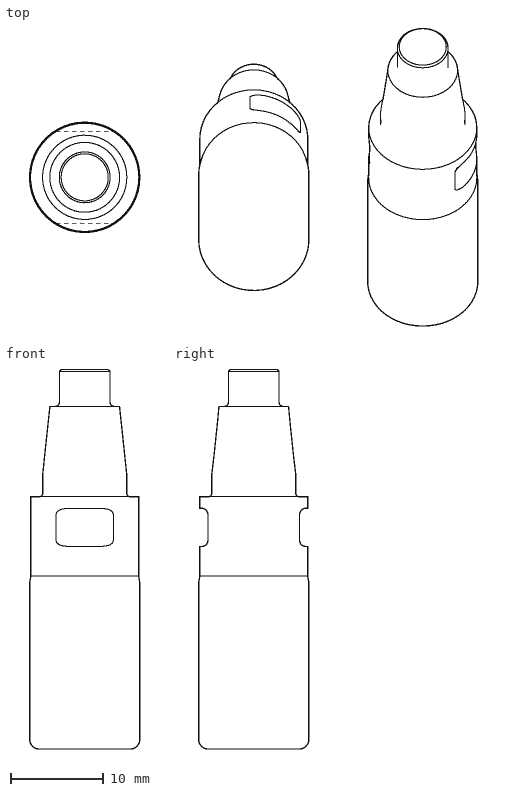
import cadquery as cq

total_height = 41.2

sleeve_radius = 12.0 / 2
sleeve_taper_start = 18.05
sleeve_top = 18.8
sleeve_bottom_fillet = 1.07

collar_radius = 11.75 / 2
collar_top = 27.4
flat_distance = 5.0
flat_center_height = 24.05
flat_height = 4.1
flat_fillet = 0.65

boot_base_radius = 4.57
boot_top_radius = 3.8
boot_taper_start = 29.83
boot_top = 37.2
boot_fillet = 0.37

cable_radius = 2.75
cable_fillet = 0.45
cable_chamfer = 0.2


def make_sleeve():
    """Solid cylinder with a rounded bottom edge and a taper down to the collar."""
    return (
        cq.Workplane("XZ")
        .lineTo(sleeve_radius, 0)
        .lineTo(sleeve_radius, sleeve_taper_start)
        .lineTo(collar_radius, sleeve_top)
        .lineTo(0, sleeve_top)
        .close()
        .revolve(360, (0, 0, 0), (0, 1, 0))
        .faces("<Z")
        .edges()
        .fillet(sleeve_bottom_fillet)
    )


def make_flat_cutter(side):
    """Block that cuts one wrench flat; side is -1 or +1 along Y."""
    cutter_depth = collar_radius
    return (
        cq.Workplane("XY")
        .box(2 * collar_radius, cutter_depth, flat_height)
        .edges("|X and >Y" if side < 0 else "|X and <Y")
        .fillet(flat_fillet)
        .translate((0, side * (flat_distance + cutter_depth / 2), flat_center_height))
    )


def make_upper_body():
    """Collar, boot and cable stub turned as one piece, with the flats cut."""
    arc_offset = 1 - 0.5 ** 0.5
    boot_arc_mid = boot_fillet * arc_offset
    cable_arc_mid = cable_fillet * arc_offset
    body = (
        cq.Workplane("XZ")
        .moveTo(0, sleeve_top)
        .lineTo(collar_radius, sleeve_top)
        .lineTo(collar_radius, collar_top)
        .lineTo(boot_base_radius + boot_fillet, collar_top)
        .threePointArc(
            (boot_base_radius + boot_arc_mid, collar_top + boot_arc_mid),
            (boot_base_radius, collar_top + boot_fillet),
        )
        .lineTo(boot_base_radius, boot_taper_start)
        .lineTo(boot_top_radius, boot_top)
        .lineTo(cable_radius + cable_fillet, boot_top)
        .threePointArc(
            (cable_radius + cable_arc_mid, boot_top + cable_arc_mid),
            (cable_radius, boot_top + cable_fillet),
        )
        .lineTo(cable_radius, total_height - cable_chamfer)
        .lineTo(cable_radius - cable_chamfer, total_height)
        .lineTo(0, total_height)
        .close()
        .revolve(360, (0, 0, 0), (0, 1, 0))
    )
    for side in (-1, 1):
        body = body.cut(make_flat_cutter(side))
    return body


sleeve = make_sleeve()
upper_body = make_upper_body()
result = cq.Compound.makeCompound([sleeve.val(), *upper_body.vals()])